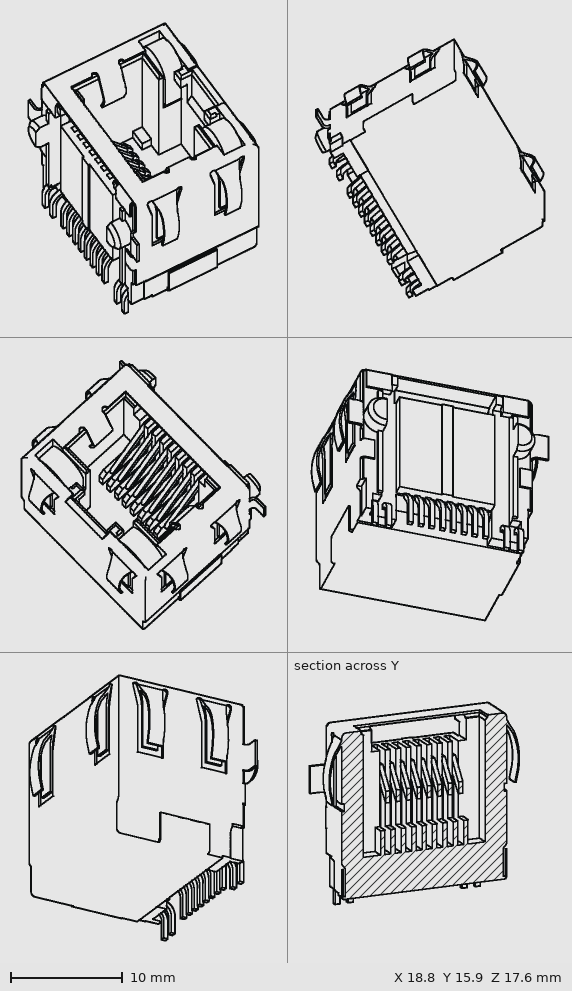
import cadquery as cq
import math


SHELL_HALF_WIDTH = 8.08
SHELL_DEPTH = 13.07
SHELL_HEIGHT = 15.6
SHEET = 0.23
BEND = 0.45
HOUSING_HALF_WIDTH = SHELL_HALF_WIDTH - SHEET
HOUSING_TOP = SHELL_HEIGHT - SHEET
BACK_BOTTOM_RADIUS = 0.41
TOP_SHEET_FRONT = 0.19
OVERLAP = 0.19

WAIST_TOP = 3.44
WAIST_BOTTOM = 2.76
WAIST_HALF_WIDTH = 7.75
WAIST_FRONT_HALF_WIDTH = 7.63
WAIST_FRONT_DEPTH = 1.3
FOOT_RELIEF = 0.2
FOOT_RELIEF_DEPTH = 2.12

CONTACT_COUNT = 8
CONTACT_PITCH = 1.02
CONTACT_WIDTH = 0.43
SLOT_WIDTH = 0.55

BLOCK_HALF_WIDTH = 4.5
BLOCK_BOTTOM = 3.2
BLOCK_TOP = 13.12
BLOCK_FRONT = -0.05
BLOCK_RIB_WIDTH = 1.0
BLOCK_RIB_FRONT = -0.2

COLUMN_HALF_WIDTH = 6.15
COLUMN_TOP = 14.38
COLUMN_FACE = 0.94
WINDOW_HALF_WIDTH = 4.62
LEAD_RECESS_HALF_WIDTH = 7.0
LEAD_RECESS_TOP = 1.92

CAVITY_FLOOR = 3.76
CAVITY_FRONT = 2.5
CAVITY_BACK = 9.35
CAVITY_HALF_WIDTH = 5.92
LEAD_IN = 0.25
MOUTH_FRONT = 2.05
MOUTH_HALF_WIDTH = CAVITY_HALF_WIDTH + LEAD_IN
KEY_HALF_WIDTH = 3.08
KEY_BACK = 11.7
LATCH_HALF_WIDTH = 2.03
LATCH_BACK = 12.16
LATCH_SLOPE_TOP = 11.95
LATCH_SLOPE_BOTTOM = 11.32
NOTCH_HALF_WIDTH = 2.4
POST_FRONT = 11.0
POST_BOTTOM = 13.93

LENS_X = 5.2
LENS_RADIUS = 2.03
LENS_TOP = 16.02
LENS_FRONT = 10.1
LENS_BACK = 12.0
POCKET_INNER = 3.14
POCKET_OUTER = 7.39
POCKET_FRONT = 9.85
POCKET_BACK = 12.03
POCKET_FLOOR = 10.53

SPRING_BULGE = 1.2
SIDE_SPRING_BULGE = 1.26
SPRING_PLACES_Y = (3.21, 9.78)
BACK_SPRING_X = 5.08

SPRING_HALF_WIDTH = 0.77
SPRING_FLARE_HALF_WIDTH = 0.86
SPRING_ROOT_HALF_WIDTH = 1.28
SPRING_ROOT = 14.96
SPRING_FLARE = 13.8
SPRING_NECK = 12.97
SPRING_TIP = 8.95

PLUG_SPRING_FRONT = 4.8
PLUG_SPRING_BACK = 7.09


def box(x0, x1, y0, y1, z0, z1):
    """Block between the given limits."""
    return cq.Workplane("XY").box(x1 - x0, y1 - y0, z1 - z0, centered=False).translate((x0, y0, z0))


def both(shape):
    """The shape together with its mirror image across X = 0."""
    return shape.union(shape.mirror("YZ"))


def side_extrude(profile, x0, x1):
    """Extrude a closed (Y, Z) profile from x0 to x1."""
    return profile.extrude(x1 - x0).translate((x0, 0, 0))


def envelope():
    """Outer form: rounded top bends at the sides and back, waisted sides, rounded back foot."""
    w, h = SHELL_HALF_WIDTH, SHELL_HEIGHT
    k = BEND * (1 - math.sqrt(0.5))
    step_x = (w - WAIST_HALF_WIDTH) / 2
    step_z = (WAIST_TOP - WAIST_BOTTOM) / 2
    step_radius = (step_x**2 + step_z**2) / (2 * step_x)
    half_angle = math.asin(step_z / step_radius) / 2
    arc_x = step_radius * (1 - math.cos(half_angle))
    arc_z = step_radius * math.sin(half_angle)
    middle = (WAIST_HALF_WIDTH + step_x, WAIST_BOTTOM + step_z)
    concave = (WAIST_HALF_WIDTH + arc_x, WAIST_BOTTOM + arc_z)
    convex = (w - arc_x, WAIST_TOP - arc_z)
    across = (
        cq.Workplane("XZ")
        .moveTo(-WAIST_HALF_WIDTH, 0)
        .lineTo(WAIST_HALF_WIDTH, 0)
        .lineTo(WAIST_HALF_WIDTH, WAIST_BOTTOM)
        .threePointArc(concave, middle)
        .threePointArc(convex, (w, WAIST_TOP))
        .lineTo(w, h - BEND)
        .threePointArc((w - k, h - k), (w - BEND, h))
        .lineTo(BEND - w, h)
        .threePointArc((k - w, h - k), (-w, h - BEND))
        .lineTo(-w, WAIST_TOP)
        .threePointArc((-convex[0], convex[1]), (-middle[0], middle[1]))
        .threePointArc((-concave[0], concave[1]), (-WAIST_HALF_WIDTH, WAIST_BOTTOM))
        .close()
        .extrude(-SHELL_DEPTH)
    )
    d, r = SHELL_DEPTH, BACK_BOTTOM_RADIUS
    j = r * (1 - math.sqrt(0.5))
    along = (
        cq.Workplane("YZ")
        .moveTo(0, FOOT_RELIEF)
        .lineTo(FOOT_RELIEF_DEPTH, FOOT_RELIEF)
        .lineTo(FOOT_RELIEF_DEPTH, 0)
        .lineTo(d - r, 0)
        .threePointArc((d - j, j), (d, r))
        .lineTo(d, h - BEND)
        .threePointArc((d - k, h - k), (d - BEND, h))
        .lineTo(0, h)
        .close()
    )
    return across.intersect(side_extrude(along, -w, w))


def trim_front_edges(body):
    """End the shield behind the housing front and narrow the front of the waist."""
    side = box(HOUSING_HALF_WIDTH, SHELL_HALF_WIDTH, 0, SHEET, WAIST_TOP, SHELL_HEIGHT)
    waist = box(WAIST_FRONT_HALF_WIDTH, SHELL_HALF_WIDTH, 0, WAIST_FRONT_DEPTH, 0, WAIST_TOP)
    top = box(-SHELL_HALF_WIDTH, SHELL_HALF_WIDTH, 0, TOP_SHEET_FRONT, HOUSING_TOP, SHELL_HEIGHT)
    return body.cut(both(side.union(waist))).cut(top)


def cut_front(body):
    """Column recesses, the window above the block and the recess under it."""
    column = box(BLOCK_HALF_WIDTH, COLUMN_HALF_WIDTH, BLOCK_FRONT, COLUMN_FACE, 0, COLUMN_TOP)
    leads = box(BLOCK_HALF_WIDTH, LEAD_RECESS_HALF_WIDTH, 0, COLUMN_FACE, 0, LEAD_RECESS_TOP)
    window = box(-WINDOW_HALF_WIDTH, WINDOW_HALF_WIDTH, 0, CAVITY_FRONT, BLOCK_TOP, HOUSING_TOP)
    overhang_face, overhang_bottom, overhang_top = 0.94, 2.15, 3
    under = (
        cq.Workplane("YZ")
        .polyline([
            (0, 0),
            (FOOT_RELIEF_DEPTH, 0),
            (FOOT_RELIEF_DEPTH, overhang_bottom),
            (overhang_face, overhang_top),
            (overhang_face, BLOCK_BOTTOM),
            (0, BLOCK_BOTTOM),
        ])
        .close()
    )
    under = side_extrude(under, -BLOCK_HALF_WIDTH, BLOCK_HALF_WIDTH)
    return body.cut(both(column.union(leads))).cut(window).cut(under)


def front_block():
    """Plate over the contacts with its raised centre rib."""
    plate = box(-BLOCK_HALF_WIDTH, BLOCK_HALF_WIDTH, BLOCK_FRONT, COLUMN_FACE, BLOCK_BOTTOM, BLOCK_TOP)
    half_rib = BLOCK_RIB_WIDTH / 2
    rib = box(-half_rib, half_rib, BLOCK_RIB_FRONT, COLUMN_FACE, BLOCK_BOTTOM, BLOCK_TOP)
    return plate.union(rib)


def lead_in(half_width, y0, y1):
    """Tapered mouth just under the top plate, narrowing downwards by the lead-in on every side."""
    return (
        cq.Workplane("XY", origin=(0, (y0 + y1) / 2, HOUSING_TOP))
        .rect(2 * half_width, y1 - y0)
        .extrude(-LEAD_IN, taper=45)
    )


def plug_cavity():
    """Plug opening with its lead-ins, key step and sloped latch channel."""
    w, key, latch = CAVITY_HALF_WIDTH, KEY_HALF_WIDTH, LATCH_HALF_WIDTH
    cavity = box(-w, w, CAVITY_FRONT, CAVITY_BACK, CAVITY_FLOOR, HOUSING_TOP)
    cavity = cavity.union(box(-key, key, CAVITY_FRONT, KEY_BACK, CAVITY_FLOOR, HOUSING_TOP))
    channel = (
        cq.Workplane("YZ")
        .polyline([
            (CAVITY_BACK, HOUSING_TOP),
            (CAVITY_BACK, LATCH_SLOPE_BOTTOM),
            (KEY_BACK, LATCH_SLOPE_BOTTOM),
            (LATCH_BACK, LATCH_SLOPE_TOP),
            (LATCH_BACK, HOUSING_TOP),
        ])
        .close()
    )
    cavity = cavity.union(side_extrude(channel, -latch, latch))
    cavity = cavity.union(lead_in(MOUTH_HALF_WIDTH, MOUTH_FRONT, CAVITY_BACK + LEAD_IN))
    cavity = cavity.union(lead_in(key + LEAD_IN, MOUTH_FRONT, POCKET_FRONT + LEAD_IN))
    return cavity.union(lead_in(latch + LEAD_IN, CAVITY_FRONT, LATCH_BACK + LEAD_IN))


def plate_opening():
    """Opening in the top sheet over the cavity, with a notch through the back edge for the latch."""
    opening = box(-MOUTH_HALF_WIDTH, MOUTH_HALF_WIDTH, MOUTH_FRONT, POCKET_FRONT, HOUSING_TOP, SHELL_HEIGHT)
    key = box(-POCKET_INNER, POCKET_INNER, POCKET_FRONT, POCKET_BACK, HOUSING_TOP, SHELL_HEIGHT)
    notch = box(-NOTCH_HALF_WIDTH, NOTCH_HALF_WIDTH, POCKET_BACK, SHELL_DEPTH, HOUSING_TOP, SHELL_HEIGHT)
    return opening.union(key).union(notch)


def key_posts():
    """Chamfered posts at the mouth of the latch channel, and pads on the cavity floor."""
    post = box(LATCH_HALF_WIDTH, KEY_HALF_WIDTH, POST_FRONT, POCKET_BACK, POST_BOTTOM, HOUSING_TOP)
    post = post.faces(">Z").edges("<Y or <X or >X").chamfer(LEAD_IN)
    pad_inner, pad_front, pad_height = 4.32, 8.37, 0.94
    pad = box(pad_inner, CAVITY_HALF_WIDTH, pad_front, CAVITY_BACK, CAVITY_FLOOR, CAVITY_FLOOR + pad_height)
    return both(post.union(pad))


def lens_pocket():
    """Wells for the lenses, open towards the key step and bevelled along the top of the front wall."""
    well = box(POCKET_INNER, POCKET_OUTER, POCKET_FRONT, POCKET_BACK, POCKET_FLOOR, SHELL_HEIGHT)
    inner_side = box(KEY_HALF_WIDTH, POCKET_INNER, POCKET_FRONT, POCKET_BACK, POCKET_FLOOR, HOUSING_TOP)
    ridge = CAVITY_BACK + LEAD_IN
    bevel = (
        cq.Workplane("YZ")
        .polyline([(ridge, HOUSING_TOP), (POCKET_FRONT, HOUSING_TOP), (POCKET_FRONT, HOUSING_TOP - LEAD_IN)])
        .close()
    )
    return both(well.union(inner_side).union(side_extrude(bevel, KEY_HALF_WIDTH, MOUTH_HALF_WIDTH)))


def lenses():
    """Indicator lenses: round-topped bars rising just above the shield."""
    length = LENS_BACK - LENS_FRONT
    axis_height = LENS_TOP - LENS_RADIUS
    round_top = (
        cq.Workplane("XZ", origin=(LENS_X, LENS_FRONT, axis_height))
        .circle(LENS_RADIUS)
        .extrude(-length)
    )
    base = box(LENS_X - LENS_RADIUS, LENS_X + LENS_RADIUS, LENS_FRONT, LENS_BACK, POCKET_FLOOR, axis_height)
    above_floor = box(POCKET_INNER, POCKET_OUTER, LENS_FRONT, LENS_BACK, POCKET_FLOOR - OVERLAP, LENS_TOP)
    return both(round_top.intersect(above_floor).union(base))


def contact_places():
    """X centres of the contacts."""
    middle = (CONTACT_COUNT - 1) / 2
    return [(i - middle) * CONTACT_PITCH for i in range(CONTACT_COUNT)]


def contact_slots():
    """Slots in the top of the front block, one for each contact."""
    slot_front = 0.65
    slots = cq.Workplane("XY")
    for x in contact_places():
        half = SLOT_WIDTH / 2
        slots = slots.union(box(x - half, x + half, slot_front, CAVITY_FRONT, CAVITY_FLOOR, BLOCK_TOP))
    return slots


def comb():
    """Ribs standing on the cavity floor between and beside the contacts."""
    rib_width = CONTACT_PITCH - SLOT_WIDTH
    rib_back, rib_top, end_slope, slope_drop = 7.09, 6.02, 0.55, 0.75
    middle = CONTACT_COUNT / 2
    ribs = cq.Workplane("XY")
    for i in range(CONTACT_COUNT + 1):
        x = (i - middle) * CONTACT_PITCH
        profile = (
            cq.Workplane("YZ")
            .polyline([
                (CAVITY_FRONT - OVERLAP, CAVITY_FLOOR - OVERLAP),
                (rib_back, CAVITY_FLOOR - OVERLAP),
                (rib_back, rib_top - slope_drop),
                (rib_back - end_slope, rib_top),
                (CAVITY_FRONT - OVERLAP, rib_top),
            ])
            .close()
        )
        ribs = ribs.union(side_extrude(profile, x - rib_width / 2, x + rib_width / 2))
    return ribs


def contacts():
    """Spring wires sloping into the cavity and their solder tails below the block."""
    wire = 0.41
    tail_front, tail_bottom = -0.49, -0.79
    wire_front, wire_top, tip_y, tip_z = 1.22, 11.65, 6.35, 6.4
    spring = (
        cq.Workplane("YZ")
        .polyline([
            (wire_front, CAVITY_FLOOR - OVERLAP),
            (wire_front, wire_top),
            (wire_front + 2 * wire, wire_top),
            (tip_y, tip_z),
            (tip_y - wire, tip_z - wire),
            (wire_front + wire, wire_top - 2 * wire),
            (wire_front + wire, CAVITY_FLOOR - OVERLAP),
        ])
        .close()
    )
    root_back, root_front = 0.94, 0.75
    slope_y, slope_z, bend_y, bend_z = 0.56, 2.99, -0.23, 2.1
    straight_z = 1.22
    tail_back = tail_front + wire
    tail = (
        cq.Workplane("YZ")
        .moveTo(root_back, BLOCK_BOTTOM)
        .lineTo(root_front, BLOCK_BOTTOM)
        .lineTo(slope_y, slope_z)
        .lineTo(-0.04, 2.35)
        .lineTo(bend_y, bend_z)
        .threePointArc((-0.41, 1.7), (tail_front, straight_z))
        .lineTo(tail_front, tail_bottom)
        .lineTo(tail_back, tail_bottom)
        .lineTo(tail_back, straight_z)
        .threePointArc((0.04, 1.65), (0.28, 2.03))
        .lineTo(root_back, 2.82)
        .close()
    )
    half = CONTACT_WIDTH / 2
    rounded_plan = box(-half, half, wire_front, tip_y - half, 0, wire_top)
    rounded_plan = rounded_plan.union(
        cq.Workplane("XY", origin=(0, tip_y - half, 0)).circle(half).extrude(wire_top)
    )
    spring = side_extrude(spring, -half, half).intersect(rounded_plan)
    one = spring.union(side_extrude(tail, -half, half))
    wires = cq.Workplane("XY")
    for x in contact_places():
        wires = wires.union(one.translate((x, 0, 0)))
    return wires


def lens_leads():
    """Solder leads of the lenses: a quarter bend out of the column, then straight down."""
    wire, width = 0.41, 0.49
    places_x = (5.56, 6.86)
    front, bottom, bend_height = -0.41, -1.56, 0.15
    outer = COLUMN_FACE - front
    inner = outer - wire
    c = math.sqrt(0.5)
    profile = (
        cq.Workplane("YZ")
        .moveTo(COLUMN_FACE + OVERLAP, bend_height + outer)
        .lineTo(COLUMN_FACE, bend_height + outer)
        .threePointArc((COLUMN_FACE - c * outer, bend_height + c * outer), (front, bend_height))
        .lineTo(front, bottom)
        .lineTo(front + wire, bottom)
        .lineTo(front + wire, bend_height)
        .threePointArc((COLUMN_FACE - c * inner, bend_height + c * inner), (COLUMN_FACE, bend_height + inner))
        .lineTo(COLUMN_FACE + OVERLAP, bend_height + inner)
        .close()
    )
    lead = side_extrude(profile, -width / 2, width / 2)
    leads = cq.Workplane("XY")
    for x in places_x:
        leads = leads.union(lead.translate((x, 0, 0)))
    return both(leads)


def mounting_pegs():
    """Chamfered round pegs cut flat on their inner side, and the ridges behind them."""
    radius, tip, chamfer, x, z = 1.5, -1.65, 0.4, 6.35, 10.26
    peg = cq.Workplane("XZ", origin=(x, 0, z)).circle(radius).extrude(-tip)
    peg = peg.faces("<Y").chamfer(chamfer)
    peg = peg.cut(box(0, COLUMN_HALF_WIDTH, tip, 0, 0, SHELL_HEIGHT))
    ridge_outer, ridge_front, ridge_bottom, ridge_top = 6.56, -0.32, 2.15, 13.24
    ridge = box(COLUMN_HALF_WIDTH, ridge_outer, ridge_front, 0, ridge_bottom, ridge_top)
    return both(peg.union(ridge))


def front_tabs():
    """Shield tabs folded over the front from the top and from both sides."""
    front = -0.17
    top_inner, top_outer, top_bottom = 5.23, 7.63, 13.55
    top_tab = box(top_inner, top_outer, front, BEND, top_bottom, SHELL_HEIGHT)
    top_tab = top_tab.faces("<Y").edges(">Z").fillet(BEND)
    side_inner, side_bottom, side_top, side_bend = 6.85, 5.73, 7.73, 0.38
    side_tab = box(side_inner, SHELL_HALF_WIDTH, front, SHEET, side_bottom, side_top)
    side_tab = side_tab.edges("|Z and >X and <Y").fillet(side_bend)
    return both(top_tab.union(side_tab))


def side_ears():
    """Ears of sheet bent outwards from the front edges of the shield sides."""
    bottom, top, tip, front = 9.02, 11.56, 9.4, -0.49
    root = 2 * SHEET
    bend_outer = 0.6
    bend_inner = bend_outer - SHEET
    bend_x = HOUSING_HALF_WIDTH + bend_outer
    bend_y = front + bend_outer
    c = math.sqrt(0.5)
    ear = (
        cq.Workplane("XY", origin=(0, 0, bottom))
        .moveTo(HOUSING_HALF_WIDTH, root)
        .lineTo(HOUSING_HALF_WIDTH, bend_y)
        .threePointArc((bend_x - c * bend_outer, bend_y - c * bend_outer), (bend_x, front))
        .lineTo(tip, front)
        .lineTo(tip, front + SHEET)
        .lineTo(bend_x, front + SHEET)
        .threePointArc((bend_x - c * bend_inner, bend_y - c * bend_inner), (SHELL_HALF_WIDTH, bend_y))
        .lineTo(SHELL_HALF_WIDTH, root)
        .close()
        .extrude(top - bottom)
    )
    return both(ear)


def side_flaps():
    """Flaps rising beside the waist, joined to the body along a rounded foot."""
    front, back, top, sheet, bend = 3.67, 8.72, 2.84, 0.15, 0.3
    flap = box(WAIST_HALF_WIDTH - OVERLAP, SHELL_HALF_WIDTH, front, back, 0, top)
    flap = flap.edges("|Y and >X and <Z").fillet(bend)
    gap_outer = SHELL_HALF_WIDTH - sheet
    return both(flap.cut(box(0, gap_outer, front, back, bend, top)))


def grounding_spring(bulge):
    """Bowed spring on a wall at X = 0, bulging towards +X and centred on Y = 0."""
    knee, crest, thickness = 10.17, 11.28, 0.17
    first_bend, first_bulge = 14.42, 0.28
    flare_bulge = 0.7
    knee_fall, tip_fall = 0.08, 0.34
    knee_bulge = bulge - knee_fall
    tip_bulge = bulge - tip_fall
    profile = (
        cq.Workplane("XZ")
        .moveTo(0, SPRING_ROOT)
        .lineTo(first_bulge, first_bend)
        .lineTo(flare_bulge, SPRING_FLARE)
        .threePointArc((bulge, crest), (knee_bulge, knee))
        .lineTo(tip_bulge, SPRING_TIP)
        .lineTo(tip_bulge - thickness, SPRING_TIP)
        .lineTo(knee_bulge - thickness, knee)
        .threePointArc((bulge - thickness, crest), (flare_bulge - thickness, SPRING_FLARE - thickness))
        .lineTo(first_bulge - thickness, first_bend - thickness)
        .lineTo(-SHEET, SPRING_ROOT - 2 * thickness)
        .lineTo(-SHEET, SPRING_ROOT)
        .close()
        .extrude(SPRING_ROOT_HALF_WIDTH, both=True)
    )
    n, f, w = SPRING_HALF_WIDTH, SPRING_FLARE_HALF_WIDTH, SPRING_ROOT_HALF_WIDTH
    outline = (
        cq.Workplane("YZ", origin=(-SHEET, 0, 0))
        .polyline([
            (-w, SPRING_ROOT), (-f, SPRING_FLARE), (-n, SPRING_NECK), (-n, SPRING_TIP),
            (n, SPRING_TIP), (n, SPRING_NECK), (f, SPRING_FLARE), (w, SPRING_ROOT),
        ])
        .close()
        .extrude(SHEET + 2 * bulge)
    )
    return profile.intersect(outline)


def spring_window():
    """Slot through the sheet around a grounding spring, on a wall at X = 0."""
    half, bottom, flare, flare_half = 1.3, 8.27, 12.82, 1.79
    end_side, end_top, end_width = 14.78, 15.1, 0.19
    n, f, w = SPRING_HALF_WIDTH, SPRING_FLARE_HALF_WIDTH, SPRING_ROOT_HALF_WIDTH
    return (
        cq.Workplane("YZ", origin=(-SHEET, 0, 0))
        .moveTo(-half, bottom)
        .lineTo(half, bottom)
        .lineTo(half, flare)
        .lineTo(flare_half, end_side)
        .threePointArc((flare_half - end_width, end_top), (w, SPRING_ROOT))
        .lineTo(f, SPRING_FLARE)
        .lineTo(n, SPRING_NECK)
        .lineTo(n, SPRING_TIP)
        .lineTo(-n, SPRING_TIP)
        .lineTo(-n, SPRING_NECK)
        .lineTo(-f, SPRING_FLARE)
        .lineTo(-w, SPRING_ROOT)
        .threePointArc((end_width - flare_half, end_top), (-flare_half, end_side))
        .lineTo(-half, flare)
        .close()
        .extrude(SHEET)
    )


def on_walls(side_shape, back_shape):
    """Place a shape at each spring on both sides and on the back wall."""
    placed = cq.Workplane("XY")
    for y in SPRING_PLACES_Y:
        placed = placed.union(both(side_shape.translate((SHELL_HALF_WIDTH, y, 0))))
    turned = back_shape.rotate((0, 0, 0), (0, 0, 1), 90)
    return placed.union(both(turned.translate((BACK_SPRING_X, SHELL_DEPTH, 0))))


def plug_springs():
    """Shield strips rolled down from the top sheet into the cavity, to touch the plug."""
    root_x = MOUTH_HALF_WIDTH + OVERLAP
    strip = (
        cq.Workplane("XZ", origin=(0, PLUG_SPRING_BACK, 0))
        .moveTo(root_x, SHELL_HEIGHT)
        .lineTo(MOUTH_HALF_WIDTH, SHELL_HEIGHT)
        .threePointArc((5.92, 15.5), (5.8, 15.27))
        .lineTo(5.04, 13.35)
        .threePointArc((4.93, 12.84), (5.04, 12.33))
        .lineTo(5.35, 11.47)
        .lineTo(5.55, 11.56)
        .lineTo(5.23, 12.4)
        .threePointArc((5.13, 12.84), (5.23, 13.3))
        .lineTo(6.0, 15.23)
        .lineTo(MOUTH_HALF_WIDTH, HOUSING_TOP)
        .lineTo(root_x, HOUSING_TOP)
        .close()
        .extrude(PLUG_SPRING_BACK - PLUG_SPRING_FRONT)
    )
    return both(strip)


def relief_notches():
    """Round-ended notches in the top sheet at both ends of each plug spring."""
    radius, inset = 0.26, 0.05
    centre_x = MOUTH_HALF_WIDTH + inset
    notches = cq.Workplane("XY")
    for y in (PLUG_SPRING_FRONT - radius, PLUG_SPRING_BACK + radius):
        end = cq.Workplane("XY", origin=(centre_x, y, HOUSING_TOP)).circle(radius).extrude(SHEET)
        throat = box(CAVITY_HALF_WIDTH, centre_x, y - radius, y + radius, HOUSING_TOP, SHELL_HEIGHT)
        notches = notches.union(end).union(throat)
    return both(notches)


body = trim_front_edges(envelope())
body = body.cut(on_walls(spring_window(), spring_window()))
body = cut_front(body).union(front_block())
openings = (plug_cavity(), plate_opening(), lens_pocket(), contact_slots(), relief_notches())
for opening in openings:
    body = body.cut(opening)
inside_parts = (key_posts(), lenses(), comb(), contacts(), lens_leads())
outside_parts = (mounting_pegs(), front_tabs(), side_ears(), side_flaps(), plug_springs())
for part in inside_parts + outside_parts:
    body = body.union(part)
result = body.union(on_walls(grounding_spring(SIDE_SPRING_BULGE), grounding_spring(SPRING_BULGE)))